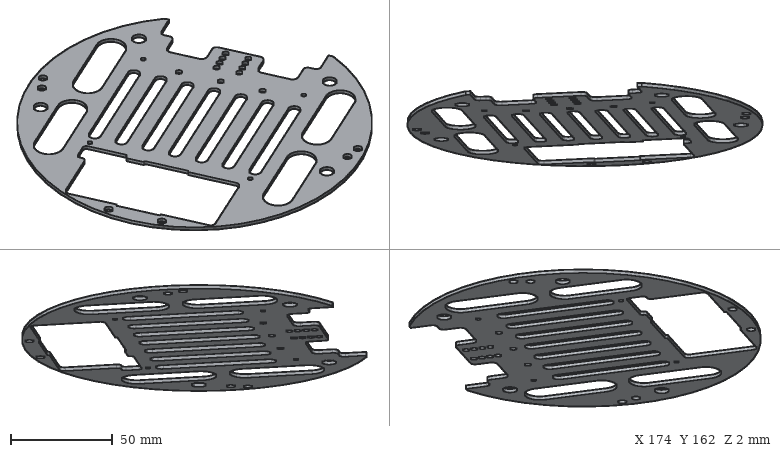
import cadquery as cq

plate_diameter = 174.0
plate_depth = 162.0
plate_thickness = 2.0
plate_radius = plate_diameter / 2
plate_top = plate_depth - plate_radius

recess_half_width = 41.8
shoulder_y = 62.1
pocket_outer_x = 34.3
pocket_floor_y = 50.0
tongue_half_width = 13.4
recess_inner_radius = 2.5
pocket_floor_radius = 3.0
recess_outer_radius = 2.5

side_slot_x = 60.0
side_slot_y = 27.0
side_slot_length = 47.0
side_slot_width = 15.0

vent_count = 7
vent_span = 84.0
vent_length = 60.0
vent_width = 6.1
vent_pitch = vent_span / (vent_count - 1)

window_half_width = 39.1
window_top = -39.7
window_bottom = -77.0
window_corner_radius = 2.5
relief_half_width = 11.5
relief_depth = 1.0
relief_corner_radius = 0.49
ear_left = -43.8
ear_right = -21.0
ear_top = -37.0
ear_bottom = -47.2
ear_corner_radius = 2.0
ear_step_radius = 1.2

large_hole_diameter = 7.0
large_hole_points = [(50.0, 55.0), (75.0, -15.0)]
rim_hole_diameter = 4.2
rim_hole_points = [(82.5, 8.0), (80.0, 0), (14.0, -82.1)]
corner_hole_diameter = 2.3
corner_hole_points = [(vent_span / 2, 40.0), (vent_span / 2, -34.0)]
small_hole_diameter = 3.1
row_hole_spacing = 22.0
row_hole_y = 36.2
header_x = 6.0
header_first_y = 46.1
header_pitch = 4.2
header_rows = 4


def mirrored(points):
    """Return the points together with their mirror images across the YZ plane."""
    return points + [(-x, y) for x, y in points]


def prism(points):
    """Extrude a closed polygon through the plate thickness."""
    return cq.Workplane("XY").polyline(points).close().extrude(plate_thickness)


def round_corners(body, points, radius):
    """Fillet the upright edges that stand at the given points."""
    for x, y in points:
        edge = cq.selectors.NearestToPointSelector((x, y, plate_thickness / 2))
        body = body.edges("|Z").edges(edge).fillet(radius)
    return body


def edge_recess():
    past_edge = plate_radius
    shoulder_corner = (recess_half_width, shoulder_y)
    step_corner = (pocket_outer_x, shoulder_y)
    floor_outer = (pocket_outer_x, pocket_floor_y)
    floor_inner = (tongue_half_width, pocket_floor_y)
    tongue_corner = (tongue_half_width, shoulder_y)
    right_half = [
        (recess_half_width, past_edge),
        shoulder_corner,
        step_corner,
        floor_outer,
        floor_inner,
        tongue_corner,
    ]
    left_half = [(-x, y) for x, y in reversed(right_half)]
    recess = prism(right_half + left_half)
    recess = round_corners(recess, mirrored([shoulder_corner]), recess_inner_radius)
    recess = round_corners(recess, mirrored([step_corner, tongue_corner]), recess_outer_radius)
    return round_corners(recess, mirrored([floor_outer, floor_inner]), pocket_floor_radius)


def window():
    ear_left_corners = [
        (-window_half_width, ear_bottom),
        (ear_left, ear_bottom),
        (ear_left, ear_top),
    ]
    ear_step = [(ear_right, ear_top), (ear_right, window_top)]
    main_corners = [
        (window_half_width, window_top),
        (window_half_width, window_bottom),
        (-window_half_width, window_bottom),
    ]
    relief_top = window_top + relief_depth
    relief_bottom = window_bottom - relief_depth
    upper_relief = [
        (-relief_half_width, window_top),
        (-relief_half_width, relief_top),
        (relief_half_width, relief_top),
        (relief_half_width, window_top),
    ]
    lower_relief = [
        (relief_half_width, window_bottom),
        (relief_half_width, relief_bottom),
        (-relief_half_width, relief_bottom),
        (-relief_half_width, window_bottom),
    ]
    outline = ear_left_corners + ear_step + upper_relief + main_corners[:2]
    outline += lower_relief + main_corners[2:]
    opening = prism(outline)
    opening = round_corners(opening, main_corners, window_corner_radius)
    opening = round_corners(opening, upper_relief + lower_relief, relief_corner_radius)
    opening = round_corners(opening, ear_left_corners, ear_corner_radius)
    return round_corners(opening, ear_step, ear_step_radius)


def slots(points, length, width):
    """Upright round-ended slots centred on the given points."""
    return cq.Workplane("XY").pushPoints(points).slot2D(length, width, 90).extrude(plate_thickness)


def holes(points, diameter):
    return cq.Workplane("XY").pushPoints(points).circle(diameter / 2).extrude(plate_thickness)


disc = cq.Workplane("XY").circle(plate_radius).extrude(plate_thickness)
edge_flat = cq.Workplane("XY").box(
    plate_diameter, plate_radius, plate_thickness, centered=(True, False, False)
).translate((0, plate_top, 0))

side_slot_points = mirrored([(side_slot_x, side_slot_y), (side_slot_x, -side_slot_y)])
vent_points = [(i * vent_pitch - vent_span / 2, 0) for i in range(vent_count)]
row_points = [(i * row_hole_spacing, row_hole_y) for i in (-1, 0, 1)]
header_points = mirrored([(header_x, header_first_y + i * header_pitch) for i in range(header_rows)])

result = (
    disc.cut(edge_flat)
    .cut(edge_recess())
    .cut(window())
    .cut(slots(side_slot_points, side_slot_length, side_slot_width))
    .cut(slots(vent_points, vent_length, vent_width))
    .cut(holes(mirrored(large_hole_points), large_hole_diameter))
    .cut(holes(mirrored(rim_hole_points), rim_hole_diameter))
    .cut(holes(mirrored(corner_hole_points), corner_hole_diameter))
    .cut(holes(row_points + header_points, small_hole_diameter))
)